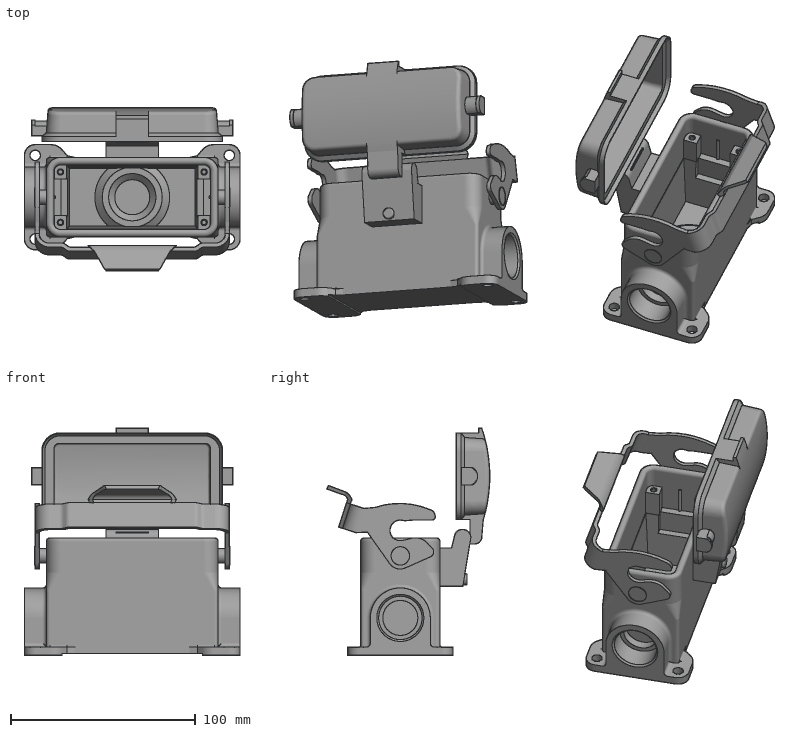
import cadquery as cq
import math

overlap = 1.2

body_half_x = 46.5
body_half_y = 21.5
body_bottom_z = 1.0
body_top_z = 63.7
lower_corner_radius = 2.0
upper_corner_radius = 7.6
corner_blend_start_z = 35.0
corner_blend_end_z = 44.8
rim_width = 4.1
rim_round = 2.0

pocket_floor_z = 37
pocket_corner_radius = 3.7
well_floor_z = 4.9
well_half_x = 35.7
well_half_y = 17.2
well_taper = 3

slot_outer_x = 38.7
slot_half_y = 10.2
slot_floor_z = 24.6

floor_boss_base_diameter = 40.5
floor_boss_top_diameter = 32.5
floor_boss_height = 3.7
floor_recess_mouth_diameter = 25.6
floor_recess_diameter = 19.0

post_x = 38.9
post_y = 13.7
post_length_x = 6.5
post_length_y = 7.8
post_top_z = 51.5
post_hole_diameter = 2.5
post_mouth_diameter = 3.5
post_mouth_angle = 90
post_hole_depth = 9.9
guide_rib_diameter = 1.7

foot_half_x = 58.5
foot_half_y = 28.6
foot_height = 4.5
foot_pad_inner_x = 38.0
foot_toe_x = 31.0
foot_neck = (35.2, 22.5)
foot_shoulder_x = 40.5
foot_corner_radius = 6.0
foot_shoulder_radius = 8.1
foot_hole_diameter = 5.5
foot_hole_x = 52.6
foot_hole_y = 22.7
foot_root_fillet = 0.9

entry_radius = 16.3
entry_axis_z = 20.3
entry_root_fillet = 1.8
entry_foot_fillet = 2.1
entry_bore_diameter = 23.5
entry_bore_depth = 12.8
entry_inner_diameter = 19.0
entry_inner_depth = 4.9
entry_chamfer = 1.0

bracket_half_x = 14.3
bracket_bottom_z = 37.4
bracket_top_z = 58.2
bracket_foot_y = 33.9
bracket_heel_y = 37.3
hinge_slot_z = 66.5
hinge_slot_height = 0.5
hinge_slot_floor_y = 30.8
hinge_screw_z = 41.3
hinge_screw_diameter = 6.0
hinge_screw_end_y = 36.2
hinge_screw_round = 0.7

cover_axis_z = 97.0
cover_front_y = 30.2
cover_back_y = 48.5
cover_back_radius = 80
flange_half_x = 49.0
flange_half_z = 23.5
flange_thickness = 2.7
flange_corner_radius = 9.9
flange_slope = 2.0
shell_step = 2.3
shell_taper = 4
shell_back_fillet = 2.2
gasket_depth = 2.2
gasket_mouth_inset = 0.4
gasket_corner_radius = 9.5
gasket_taper = 30
opening_half_x = 42.5
opening_half_z = 18.0
opening_corner_radius = 3.1
opening_taper = 2.5
cover_back_wall = 3.0
opening_back_fillet = 1.0
strap_half_x = 8.7
strap_tab_inner_y = 42.5
strap_arm_inner_y = 37.7
strap_arm_bottom_z = 60.3
cover_top_z = 123.2
ear_half_x = 54.5
ear_shaft_end_x = 52.6
ear_half_z = 4.7
ear_front_y = 33.3
ear_shoulder_y = 39.2
ear_tip_y = 41.9
ear_shaft_relief = 0.5

sheet = 2.2
lever_half_x = 52.6
pivot_z = 54.0
pivot_pin_diameter = 8.0
pivot_head_diameter = 10.0
pivot_head_height = 0.4
lever_tilt = 18
bar_height = 13.9
bar_corner_radius = 7.6
bar_top_y = -19.7
bar_top_z = 79.7
bar_jog_outer_x = 38.0
bar_jog_inner_x = 35.0
bar_jog_round = 3.3
bar_jog_depth = 2.3
bar_inner_jog_shift = 1.0


def box_between(x_range, y_range, z_range):
    """Axis-aligned box given by its limits."""
    size = [high - low for low, high in (x_range, y_range, z_range)]
    return cq.Workplane("XY").box(*size, centered=False).translate(
        (x_range[0], y_range[0], z_range[0])
    )


def rounded_rect(plane, half_width, half_height, radius):
    """Sketch of a rounded rectangle placed on a workplane."""
    outline = cq.Sketch().rect(2 * half_width, 2 * half_height).vertices().fillet(radius)
    return plane.placeSketch(outline)


def on_both_ends(shape):
    """Shape together with its mirror image across the YZ plane."""
    return shape.union(shape.mirror("YZ"))


def make_foot():
    """Mounting flange at the +X end, with two ears reaching past the body."""
    half = [
        (foot_toe_x, body_half_y - overlap),
        (foot_toe_x, body_half_y),
        foot_neck,
        (foot_shoulder_x, foot_half_y),
        (foot_half_x, foot_half_y),
    ]
    outline = half + [(x, -y) for x, y in reversed(half)]
    foot = cq.Workplane("XY").polyline(outline).close().extrude(foot_height)
    foot = foot.edges("|Z and >X").fillet(foot_corner_radius)
    for side in (1, -1):
        foot = foot.edges(cq.selectors.NearestToPointSelector(
            (foot_shoulder_x, side * foot_half_y, foot_height / 2))).fillet(foot_shoulder_radius)
    return foot.cut(box_between(
        (0, foot_pad_inner_x), (-foot_half_y, foot_half_y), (0, body_bottom_z)))


def make_cable_entry():
    """Arched boss at the +X end."""
    start_x = body_half_x - overlap
    return (
        cq.Workplane("YZ", origin=(start_x, 0, 0))
        .moveTo(-entry_radius, body_bottom_z)
        .lineTo(-entry_radius, entry_axis_z)
        .threePointArc((0, entry_axis_z + entry_radius), (entry_radius, entry_axis_z))
        .lineTo(entry_radius, body_bottom_z)
        .close()
        .extrude(foot_half_x - start_x)
    )


def make_entry_bore():
    """Stepped blind bore with a chamfered mouth at the +X end."""
    mouth_radius = entry_bore_diameter / 2 + entry_chamfer
    step_x = foot_half_x - entry_bore_depth
    end_x = step_x - entry_inner_depth
    bore_radius = entry_bore_diameter / 2
    inner_radius = entry_inner_diameter / 2
    profile = [
        (end_x, 0),
        (end_x, inner_radius),
        (step_x, inner_radius),
        (step_x, bore_radius),
        (foot_half_x - entry_chamfer, bore_radius),
        (foot_half_x, mouth_radius),
        (foot_half_x, 0),
    ]
    bore = cq.Workplane("XY").polyline(profile).close().revolve(360, (0, 0, 0), (1, 0, 0))
    return bore.translate((0, 0, entry_axis_z))


def corner_fillet(x_range, wall_y, radius):
    """Concave fillet on the foot top along a wall at +Y and its twin at -Y."""
    start_x, end_x = x_range
    sunk = 0.1
    diagonal = radius * (1 - math.sqrt(0.5))
    fillet = (
        cq.Workplane("YZ", origin=(start_x, 0, 0))
        .moveTo(wall_y - sunk, foot_height - sunk)
        .lineTo(wall_y + radius, foot_height - sunk)
        .lineTo(wall_y + radius, foot_height)
        .threePointArc((wall_y + diagonal, foot_height + diagonal), (wall_y, foot_height + radius))
        .lineTo(wall_y - sunk, foot_height + radius)
        .close()
        .extrude(end_x - start_x)
    )
    return fillet.union(fillet.mirror("XZ"))


def make_foot_fillets():
    """Fillets joining the +X foot to the cable entry and to the body sides."""
    along_entry = corner_fillet((body_half_x - overlap, foot_half_x), entry_radius, entry_foot_fillet)
    along_body = corner_fillet(
        (foot_neck[0], body_half_x - lower_corner_radius), body_half_y, foot_root_fillet)
    return along_entry.union(along_body)


def body_section(radius):
    """Rounded rectangular outline of the body."""
    return (
        cq.Sketch()
        .rect(2 * body_half_x, 2 * body_half_y)
        .vertices()
        .fillet(radius)
    )


def make_body():
    """Block whose corner radius grows from the lower to the upper half."""
    lower_section = body_section(lower_corner_radius)
    upper_section = body_section(upper_corner_radius)
    blend_height = corner_blend_end_z - corner_blend_start_z
    lower = (
        cq.Workplane("XY", origin=(0, 0, body_bottom_z))
        .placeSketch(lower_section)
        .extrude(corner_blend_start_z - body_bottom_z)
    )
    blend = (
        cq.Workplane("XY", origin=(0, 0, corner_blend_start_z))
        .placeSketch(lower_section, upper_section.moved(cq.Location(cq.Vector(0, 0, blend_height))))
        .loft(ruled=True)
    )
    upper = (
        cq.Workplane("XY", origin=(0, 0, corner_blend_end_z))
        .placeSketch(upper_section)
        .extrude(body_top_z - corner_blend_end_z)
    )
    return lower.union(blend).union(upper)


def make_cavity():
    """Wide pocket at the top running into a tapered well with a slot at each end."""
    inner_half_x = body_half_x - rim_width
    inner_half_y = body_half_y - rim_width
    pocket = rounded_rect(
        cq.Workplane("XY", origin=(0, 0, pocket_floor_z)),
        inner_half_x, inner_half_y, pocket_corner_radius,
    ).extrude(body_top_z - pocket_floor_z)
    well = (
        cq.Workplane("XY", origin=(0, 0, pocket_floor_z))
        .rect(2 * well_half_x, 2 * well_half_y)
        .extrude(-(pocket_floor_z - well_floor_z), taper=well_taper)
    )
    slots = box_between(
        (-slot_outer_x, slot_outer_x), (-slot_half_y, slot_half_y), (slot_floor_z, pocket_floor_z))
    return pocket.union(well).union(slots)


def make_floor_boss():
    """Conical boss on the well floor with a countersunk shallow recess."""
    top_z = well_floor_z + floor_boss_height
    profile = [
        (0, body_bottom_z),
        (floor_boss_base_diameter / 2, body_bottom_z),
        (floor_boss_base_diameter / 2, well_floor_z),
        (floor_boss_top_diameter / 2, top_z),
        (floor_recess_mouth_diameter / 2, top_z),
        (floor_recess_diameter / 2, well_floor_z),
        (0, well_floor_z),
    ]
    boss = cq.Workplane("XZ").polyline(profile).close().revolve(360, (0, 0, 0), (0, 1, 0))
    limits = box_between(
        (-body_half_x, body_half_x), (-well_half_y, well_half_y), (body_bottom_z, top_z))
    return boss.intersect(limits)


def make_posts():
    """Four screw posts and the two small guide ribs between them."""
    height = post_top_z - pocket_floor_z
    posts = (
        cq.Workplane("XY", origin=(0, 0, pocket_floor_z))
        .rect(2 * post_x, 2 * post_y, forConstruction=True)
        .vertices()
        .rect(post_length_x, post_length_y)
        .extrude(height)
        .faces(">Z")
        .workplane(origin=(0, 0, post_top_z))
        .rect(2 * post_x, 2 * post_y, forConstruction=True)
        .vertices()
        .cskHole(post_hole_diameter, post_mouth_diameter, post_mouth_angle, post_hole_depth)
    )
    ribs = (
        cq.Workplane("XY", origin=(0, 0, pocket_floor_z))
        .pushPoints([(side * (body_half_x - rim_width), 0) for side in (-1, 1)])
        .circle(guide_rib_diameter / 2)
        .extrude(height)
    )
    return posts.union(ribs)


def entry_root_edges(side):
    """Selector for the edges where a cable entry meets the end wall of the body."""
    reach = 0.1
    wall_x = side * body_half_x
    half_y = entry_radius + reach
    return cq.selectors.BoxSelector(
        (wall_x - reach, -half_y, body_bottom_z + reach), (wall_x + reach, half_y, body_top_z))


def make_housing():
    """Body with cable entries, feet and cavity."""
    housing = make_body().union(on_both_ends(make_cable_entry()))
    for side in (1, -1):
        housing = housing.edges(entry_root_edges(side)).fillet(entry_root_fillet)
    housing = housing.union(on_both_ends(make_foot()))
    housing = housing.union(on_both_ends(make_foot_fillets()))
    housing = housing.cut(make_cavity())
    housing = housing.faces(">Z").edges().fillet(rim_round)
    housing = housing.union(make_floor_boss()).union(make_posts())
    housing = housing.cut(on_both_ends(make_entry_bore()))
    holes = (
        cq.Workplane("XY")
        .rect(2 * foot_hole_x, 2 * foot_hole_y, forConstruction=True)
        .vertices()
        .circle(foot_hole_diameter / 2)
        .extrude(foot_height)
    )
    return housing.cut(holes)


def make_hinge_bracket():
    """Bracket on the rear wall ending in a rounded slotted knuckle."""
    bracket = (
        cq.Workplane("YZ")
        .moveTo(body_half_y - overlap, bracket_bottom_z)
        .lineTo(bracket_foot_y, bracket_bottom_z)
        .lineTo(bracket_heel_y, bracket_top_z)
        .lineTo(38.2, 63.5)
        .threePointArc((34.0, 68.3), (29.3, 64.8))
        .lineTo(27.7, bracket_top_z)
        .lineTo(body_half_y - overlap, bracket_top_z)
        .close()
        .extrude(bracket_half_x, both=True)
    )
    slot = box_between(
        (-strap_half_x, strap_half_x),
        (0, hinge_slot_floor_y),
        (hinge_slot_z - hinge_slot_height / 2, hinge_slot_z + hinge_slot_height / 2),
    )
    screw = (
        cq.Workplane("XZ", origin=(0, bracket_foot_y - overlap, hinge_screw_z))
        .circle(hinge_screw_diameter / 2)
        .extrude(-(hinge_screw_end_y - bracket_foot_y + overlap))
        .faces(">Y")
        .edges()
        .fillet(hinge_screw_round)
    )
    return bracket.cut(slot).union(screw)


def back_drop(height):
    """How far the curved cover back falls away at a height above its middle."""
    return cover_back_radius - math.sqrt(cover_back_radius**2 - height**2)


def cover_back_cylinder(offset):
    """Cylinder along X whose far side is the cover back moved inward by an offset."""
    centre_y = cover_back_y - cover_back_radius
    return (
        cq.Workplane("YZ", origin=(0, centre_y, cover_axis_z))
        .circle(cover_back_radius - offset)
        .extrude(flange_half_x, both=True)
    )


def cover_plane(y):
    """Workplane centred on the cover, with its normal toward -Y."""
    return cq.Workplane("XZ", origin=(0, y, cover_axis_z))


def make_cover_shell():
    """Dished cover with a flange around its open front."""
    flange_back_y = cover_front_y + flange_thickness
    flange = rounded_rect(
        cover_plane(cover_front_y), flange_half_x, flange_half_z, flange_corner_radius
    ).extrude(-flange_thickness)
    slope = rounded_rect(
        cover_plane(flange_back_y), flange_half_x, flange_half_z, flange_corner_radius
    ).extrude(-flange_slope, taper=math.degrees(math.atan(shell_step / flange_slope)))
    shell = rounded_rect(
        cover_plane(flange_back_y),
        flange_half_x - shell_step, flange_half_z - shell_step, flange_corner_radius - shell_step,
    ).extrude(-(cover_back_y - flange_back_y), taper=shell_taper)
    shell = shell.intersect(cover_back_cylinder(0)).faces(">Y").edges().fillet(shell_back_fillet)
    opening = rounded_rect(
        cover_plane(cover_front_y), opening_half_x, opening_half_z, opening_corner_radius
    ).extrude(-(cover_back_y - cover_front_y), taper=opening_taper)
    opening = opening.intersect(cover_back_cylinder(cover_back_wall))
    opening = opening.faces(">Y").edges().fillet(opening_back_fillet)
    gasket_seat = rounded_rect(
        cover_plane(cover_front_y),
        flange_half_x - gasket_mouth_inset, flange_half_z - gasket_mouth_inset, gasket_corner_radius,
    ).extrude(-gasket_depth, taper=gasket_taper)
    opening = opening.union(gasket_seat)
    return flange.union(slope).union(shell), opening


def make_cover_strap():
    """Central strap over the cover back, with a grip tab above and a hinge arm below."""
    flange_top_z = cover_axis_z + flange_half_z
    tab_height = cover_top_z - cover_axis_z
    arm_start = (cover_back_y - back_drop(flange_half_z), cover_axis_z - flange_half_z)
    return (
        cq.Workplane("YZ")
        .moveTo(cover_front_y, flange_top_z)
        .lineTo(strap_tab_inner_y, flange_top_z)
        .lineTo(strap_tab_inner_y, cover_top_z)
        .lineTo(cover_back_y - back_drop(tab_height), cover_top_z)
        .threePointArc((cover_back_y, cover_axis_z), arm_start)
        .lineTo(44.2, 64.4)
        .threePointArc((43.1, 61.6), (40.4, strap_arm_bottom_z))
        .lineTo(strap_arm_inner_y, strap_arm_bottom_z)
        .lineTo(strap_arm_inner_y, arm_start[1])
        .lineTo(cover_front_y, arm_start[1])
        .close()
        .extrude(strap_half_x, both=True)
    )


def make_ear(end_x, shrink):
    """Catch ear bar across the cover with a rounded back, out to +/- end_x."""
    return (
        cq.Workplane("YZ", origin=(0, 0, cover_axis_z))
        .moveTo(ear_front_y, -ear_half_z)
        .lineTo(ear_shoulder_y - shrink, -ear_half_z)
        .threePointArc((ear_tip_y - shrink, 0), (ear_shoulder_y - shrink, ear_half_z))
        .lineTo(ear_front_y, ear_half_z)
        .close()
        .extrude(end_x, both=True)
    )


def make_cover():
    """Complete cover standing open behind the housing."""
    shell, opening = make_cover_shell()
    heads = make_ear(ear_half_x, 0).cut(
        box_between((-ear_shaft_end_x, ear_shaft_end_x), (0, cover_back_y), (0, cover_top_z)))
    ears = make_ear(ear_shaft_end_x, ear_shaft_relief).union(heads)
    return shell.union(make_cover_strap()).union(ears).cut(opening)


def make_lever_cheek():
    """Side plate at +X: an upper hook and a lower lobe around the pivot."""
    return (
        cq.Workplane("YZ", origin=(lever_half_x - sheet, 0, 0))
        .moveTo(19.0, 75.1)
        .threePointArc((18.5, 77.1), (16, 79.1))
        .threePointArc((3.0, 82.3), (-13.5, 80.3))
        .lineTo(bar_top_y, bar_top_z)
        .lineTo(bar_top_y - bar_height * math.sin(math.radians(lever_tilt)),
                bar_top_z - bar_height * math.cos(math.radians(lever_tilt)))
        .lineTo(-17.9, 66.7)
        .lineTo(-5.4, 49.3)
        .threePointArc((-0.4, 46.8), (2.7, 47.4))
        .lineTo(16.4, 53.5)
        .threePointArc((18.0, 55.4), (17.5, 57.9))
        .lineTo(13.9, 61.6)
        .threePointArc((9.9, 63.5), (5.5, 63.3))
        .lineTo(1.2, 62.3)
        .threePointArc((-5.5, 68.0), (0, 73.3))
        .lineTo(2.7, 72.9)
        .lineTo(6.7, 73.3)
        .lineTo(17.0, 73.3)
        .threePointArc((18.5, 73.9), (19.0, 75.1))
        .close()
        .extrude(sheet)
    )


def tilted_bar_plane():
    """Plane across the cross bar top: local x along X, local y outward, normal up."""
    tilt = math.radians(lever_tilt)
    return cq.Plane(
        origin=(0, bar_top_y, bar_top_z),
        xDir=(-1, 0, 0),
        normal=(0, math.sin(tilt), math.cos(tilt)),
    )


def jog_edges(side):
    """Selector for the four upright bar edges at the jog on one side."""
    near_x, far_x = bar_jog_inner_x - 1.2, bar_jog_outer_x + 1.2
    low_x, high_x = sorted((side * near_x, side * far_x))
    upright = cq.selectors.ParallelDirSelector(tilted_bar_plane().zDir)
    around_jog = cq.selectors.BoxSelector((low_x, -bar_top_z, 0), (high_x, 0, bar_top_z))
    return upright & around_jog


def make_lever_bar():
    """Cross bar bent from the cheeks, with its middle stepped outward."""
    inner_radius = bar_corner_radius - sheet
    flat_x = lever_half_x - bar_corner_radius
    diagonal = math.sqrt(0.5)

    def half(shift, radius):
        """One half of the bar outline: arc end, flat and jog."""
        return [
            (flat_x + radius, 0),
            (flat_x + radius * diagonal, radius * diagonal),
            (flat_x, radius),
            (bar_jog_outer_x - shift, radius),
            (bar_jog_inner_x - shift, radius + bar_jog_depth),
        ]

    def mirrored(points):
        return [(-x, y) for x, y in points]

    outer = half(0, bar_corner_radius)
    inner = half(bar_inner_jog_shift, inner_radius)
    outer_left = mirrored(outer)
    inner_left = mirrored(inner)
    bar = (
        cq.Workplane(tilted_bar_plane())
        .moveTo(*outer[0])
        .threePointArc(outer[1], outer[2])
        .polyline([outer[3], outer[4], outer_left[4], outer_left[3], outer_left[2]],
                  includeCurrent=True)
        .threePointArc(outer_left[1], outer_left[0])
        .lineTo(*inner_left[0])
        .threePointArc(inner_left[1], inner_left[2])
        .polyline([inner_left[3], inner_left[4], inner[4], inner[3], inner[2]],
                  includeCurrent=True)
        .threePointArc(inner[1], inner[0])
        .close()
        .extrude(-bar_height)
    )
    for side in (-1, 1):
        bar = bar.edges(jog_edges(side)).fillet(bar_jog_round)
    return bar


def make_lever_handle():
    """Finger tab curling outward from the bar top, tapering in plan."""
    profile = (
        cq.Workplane("YZ")
        .moveTo(-27.3, 81.8)
        .lineTo(-26.1, 84.5)
        .threePointArc((-27.1, 86.2), (-29.5, 88.5))
        .lineTo(-38.9, 92.1)
        .lineTo(-39.9, 90.1)
        .lineTo(-31.5, 87.2)
        .threePointArc((-29.5, 86.2), (-28.6, 84.5))
        .lineTo(-29.4, 81.8)
        .close()
        .extrude(lever_half_x, both=True)
    )
    right = [(23.9, -24.6), (23.9, -26.1), (20.2, -29.8), (15.5, -38.2), (13.5, -40.6)]
    outline = right + [(-x, y) for x, y in reversed(right)]
    plan = cq.Workplane("XY").polyline(outline).close().extrude(cover_top_z)
    return profile.intersect(plan)


def make_pivot():
    """Pin and flat head holding the cheek at the +X end."""
    pin = (
        cq.Workplane("YZ", origin=(body_half_x - overlap, 0, pivot_z))
        .circle(pivot_pin_diameter / 2)
        .extrude(lever_half_x - body_half_x + overlap)
    )
    head = (
        cq.Workplane("YZ", origin=(lever_half_x, 0, pivot_z))
        .circle(pivot_head_diameter / 2)
        .extrude(pivot_head_height)
    )
    return pin.union(head)


def make_lever():
    """Complete locking lever."""
    sides = on_both_ends(make_lever_cheek().union(make_pivot()))
    return sides.union(make_lever_bar()).union(make_lever_handle())


result = make_housing().union(make_hinge_bracket()).union(make_cover()).union(make_lever())